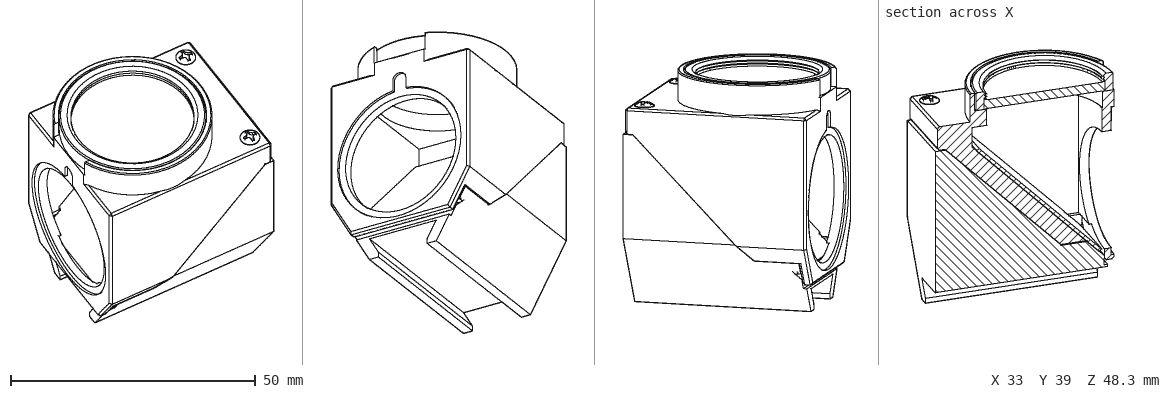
import cadquery as cq
import math

WIDTH = 33.0
DEPTH = 38.95
HEIGHT = 48.25
HALF_WIDTH = WIDTH / 2
EDGE_CHAMFER = 0.5
TAPER = math.tan(math.radians(30))

TOP_Z = 41.95
SKIRT_Z = 6.3
UPPER_TAPER_Z = 14.48
UPPER_REAR_Y = DEPTH - 0.4
SKIRT_THICKNESS = 2.1

JOINT_RISE = -0.35
JOINT_FRONT_Z = 11.2
JOINT_REAR_Z = 36.5
JOINT_GAP = 0.1
JOINT_FRONT_Y = JOINT_FRONT_Z - JOINT_RISE
JOINT_REAR_Y = JOINT_REAR_Z - JOINT_RISE

WINDOW_Z = 22.05
WINDOW_RADIUS = 13.1
RECESS_RADIUS = 14.65
RECESS_DEPTH = 0.6
KEYWAY_WIDTH = 3.1
KEYWAY_TOP_Z = 40.45

COLLAR_Y = 15.15
COLLAR_RADIUS = 16.25
COLLAR_BORE_RADIUS = 15.15
COLLAR_CHAMFER = 0.25
COLLAR_FLOOR_Z = 44.3
NOTCH_WIDTH = 12.15

HOLDER_RADIUS = 15.0
HOLDER_CHAMFER = 0.3
HOLDER_MOUTH_RADIUS = 13.35
THREAD_ROOT_RADIUS = 13.1
THREAD_CREST_RADIUS = 12.6
THREAD_PITCH = 0.65
THREAD_TURNS = 3
FIRST_CREST_Z = 47.6
FILTER_TOP_Z = FIRST_CREST_Z - (THREAD_TURNS - 1) * THREAD_PITCH

CHAMBER_WIDTH = 27.5
POCKET_WIDTH = 26.05
CHAMBER_FRONT_Y = 2.65
CHAMBER_REAR_Y = 30.9
CHAMBER_ROOF_Z = 40.55
CHAMBER_RISE = 5.35
PLATE_THICKNESS = 0.68
PLATE_FRONT_Y = 3.15
PLATE_REAR_Y = 29.9

LOWER_TAPER_Z = 14.75
LIP_FRONT_Y = 1.4
LIP_TOP_Z = 5.35
DOVETAIL_ROOF_Z = 4.8
DOVETAIL_ROOF_HALF = 7.9
DOVETAIL_LAND_Z = 1.1

SCREW_X = 12.8
SCREW_Y = 35.45
SCREW_RADIUS = 2.05
SCREW_RIM = 0.1
SCREW_HEIGHT = 0.85
CROSS_LENGTH = 2.8
CROSS_ARM = 0.6
CROSS_CORE = 1.45
CROSS_FLOOR = 0.1


def side_prism(points, width):
    """Prism centred on X from a (y, z) outline."""
    return cq.Workplane("YZ").polyline(points).close().extrude(width / 2, both=True)


def front_prism(points, front_y, rear_y):
    """Prism running along Y from an (x, z) outline."""
    plane = cq.Workplane("XZ", origin=(0, front_y, 0))
    return plane.polyline(points).close().extrude(front_y - rear_y)


def front_disc(radius, depth):
    """Cylinder on the window axis, from the front face inwards."""
    return cq.Workplane("XZ", origin=(0, 0, WINDOW_Z)).circle(radius).extrude(-depth)


def top_disc(radius, bottom_z, top_z):
    """Cylinder on the collar axis."""
    plane = cq.Workplane("XY", origin=(0, COLLAR_Y, bottom_z))
    return plane.circle(radius).extrude(top_z - bottom_z)


def tapered_outline(bottom_z, taper_z, top_z):
    """(x, z) outline with upright sides above taper_z and flanks leaning in below it."""
    bottom_half = HALF_WIDTH - (taper_z - bottom_z) * TAPER
    right = [(bottom_half, bottom_z), (HALF_WIDTH, taper_z), (HALF_WIDTH, top_z)]
    left = [(-x, z) for x, z in reversed(right)]
    return right + left


def light_chamber(front_y, width):
    """Space of the given width above the sloping plate seat, starting at front_y."""
    outline = [
        (front_y, front_y + CHAMBER_RISE),
        (CHAMBER_REAR_Y, CHAMBER_REAR_Y + CHAMBER_RISE),
        (CHAMBER_REAR_Y, CHAMBER_ROOF_Z),
        (front_y, CHAMBER_ROOF_Z),
    ]
    return side_prism(outline, width)


def upper_block():
    """Outer block above the joint, chamfered around the front, rear and top faces."""
    block = front_prism(tapered_outline(SKIRT_Z, UPPER_TAPER_Z, TOP_Z), 0, UPPER_REAR_Y)
    front_level_z = JOINT_FRONT_Z + JOINT_GAP
    rear_level_z = JOINT_REAR_Z + JOINT_GAP
    below_joint = [
        (SKIRT_THICKNESS, 0),
        (SKIRT_THICKNESS, front_level_z),
        (front_level_z - JOINT_RISE, front_level_z),
        (rear_level_z - JOINT_RISE, rear_level_z),
        (DEPTH, rear_level_z),
        (DEPTH, 0),
    ]
    block = block.cut(side_prism(below_joint, WIDTH))
    block = block.faces("<Y or >Y or >Z").edges().chamfer(EDGE_CHAMFER)
    skirt_rear = cq.selectors.BoxSelector(
        (-WIDTH, SKIRT_THICKNESS - JOINT_GAP, 0),
        (WIDTH, SKIRT_THICKNESS + JOINT_GAP, front_level_z - JOINT_GAP),
    )
    return block.edges(skirt_rear).chamfer(EDGE_CHAMFER)


def collar():
    """Round collar, cut flush with the front face."""
    ring = top_disc(COLLAR_RADIUS, CHAMBER_ROOF_Z, HEIGHT).faces(">Z").edges().chamfer(COLLAR_CHAMFER)
    keep = cq.Workplane("XY").box(WIDTH, DEPTH, HEIGHT, centered=(True, False, False))
    return ring.intersect(keep)


def keyway():
    """Round-topped slot rising from the front recess."""
    radius = KEYWAY_WIDTH / 2
    arc_z = KEYWAY_TOP_Z - radius
    return (
        cq.Workplane("XZ")
        .moveTo(-radius, WINDOW_Z)
        .lineTo(-radius, arc_z)
        .threePointArc((0, KEYWAY_TOP_Z), (radius, arc_z))
        .lineTo(radius, WINDOW_Z)
        .close()
        .extrude(-RECESS_DEPTH)
    )


def upper_housing():
    body = upper_block().union(collar())
    body = body.cut(light_chamber(CHAMBER_FRONT_Y, CHAMBER_WIDTH))
    body = body.cut(front_disc(WINDOW_RADIUS, CHAMBER_FRONT_Y))
    body = body.cut(front_disc(RECESS_RADIUS, RECESS_DEPTH)).cut(keyway())
    body = body.cut(top_disc(COLLAR_BORE_RADIUS, COLLAR_FLOOR_Z, HEIGHT))
    body = body.cut(top_disc(THREAD_CREST_RADIUS, CHAMBER_ROOF_Z, COLLAR_FLOOR_Z))
    notch = cq.Workplane("XY", origin=(0, 0, COLLAR_FLOOR_Z)).box(
        NOTCH_WIDTH, COLLAR_Y, HEIGHT - COLLAR_FLOOR_Z, centered=(True, False, False)
    )
    return body.cut(notch)


def lower_housing():
    body = front_prism(tapered_outline(0, LOWER_TAPER_Z, JOINT_REAR_Z), LIP_FRONT_Y, DEPTH)
    above_joint = [
        (0, LIP_TOP_Z),
        (SKIRT_THICKNESS, LIP_TOP_Z),
        (SKIRT_THICKNESS, JOINT_FRONT_Z),
        (JOINT_FRONT_Y, JOINT_FRONT_Z),
        (JOINT_REAR_Y, JOINT_REAR_Z),
        (JOINT_REAR_Y, HEIGHT),
        (0, HEIGHT),
    ]
    land_half = DOVETAIL_ROOF_HALF - (DOVETAIL_ROOF_Z - DOVETAIL_LAND_Z) * TAPER
    right = [(land_half, 0), (land_half, DOVETAIL_LAND_Z), (DOVETAIL_ROOF_HALF, DOVETAIL_ROOF_Z)]
    left = [(-x, z) for x, z in reversed(right)]
    body = body.cut(side_prism(above_joint, WIDTH))
    body = body.cut(front_prism(right + left, 0, DEPTH))
    return body.cut(light_chamber(0, POCKET_WIDTH))


def filter_holder():
    """Ring with a chamfered mouth and an inner thread simplified to V grooves."""
    mouth_z = HEIGHT - (HOLDER_MOUTH_RADIUS - THREAD_ROOT_RADIUS)
    outline = [
        (HOLDER_RADIUS, COLLAR_FLOOR_Z),
        (HOLDER_RADIUS, HEIGHT - HOLDER_CHAMFER),
        (HOLDER_RADIUS - HOLDER_CHAMFER, HEIGHT),
        (HOLDER_MOUTH_RADIUS, HEIGHT),
        (THREAD_ROOT_RADIUS, mouth_z),
    ]
    for turn in range(THREAD_TURNS):
        crest_z = FIRST_CREST_Z - turn * THREAD_PITCH
        if turn > 0:
            outline.append((THREAD_ROOT_RADIUS, crest_z + THREAD_PITCH / 2))
        outline.append((THREAD_CREST_RADIUS, crest_z))
    outline.append((THREAD_ROOT_RADIUS, FILTER_TOP_Z))
    outline.append((THREAD_ROOT_RADIUS, COLLAR_FLOOR_Z))
    profile = cq.Workplane("XZ", origin=(0, COLLAR_Y, 0)).polyline(outline).close()
    return profile.revolve(360, (0, 0, 0), (0, 1, 0))


def filter_disc():
    return top_disc(THREAD_ROOT_RADIUS, COLLAR_FLOOR_Z, FILTER_TOP_Z)


def side_blocks(inner_width, rear_y):
    """Pair of blocks outside the given width, from the front face back to rear_y."""
    blocks = cq.Workplane("XY").box(WIDTH, rear_y, HEIGHT, centered=(True, False, False))
    return blocks.cut(cq.Workplane("XY").box(inner_width, rear_y, HEIGHT, centered=(True, False, False)))


def dichroic_plate():
    """Flat plate lying on the sloping seat, narrower where it enters the lower pocket."""
    lift = PLATE_THICKNESS / math.sqrt(2)
    front_z = PLATE_FRONT_Y + CHAMBER_RISE
    rear_z = PLATE_REAR_Y + CHAMBER_RISE
    outline = [
        (PLATE_FRONT_Y, front_z),
        (PLATE_REAR_Y, rear_z),
        (PLATE_REAR_Y - lift, rear_z + lift),
        (PLATE_FRONT_Y - lift, front_z + lift),
    ]
    pocket_rear_y = JOINT_FRONT_Z - CHAMBER_RISE
    return side_prism(outline, CHAMBER_WIDTH).cut(side_blocks(POCKET_WIDTH, pocket_rear_y))


def dome_point(radius):
    """Point of the spherical screw dome at the given radius."""
    dome_height = SCREW_HEIGHT - SCREW_RIM
    sphere_radius = (SCREW_RADIUS**2 + dome_height**2) / (2 * dome_height)
    return radius, SCREW_HEIGHT - sphere_radius + math.sqrt(sphere_radius**2 - radius**2)


def screw(x):
    """Domed head with a cross recess, seated on the top face."""
    dome = (
        cq.Workplane("XZ")
        .lineTo(SCREW_RADIUS, 0)
        .lineTo(SCREW_RADIUS, SCREW_RIM)
        .threePointArc(dome_point(SCREW_RADIUS / 2), (0, SCREW_HEIGHT))
        .close()
        .revolve(360, (0, 0, 0), (0, 1, 0))
    )
    floor = cq.Workplane("XY", origin=(0, 0, CROSS_FLOOR))
    cross = floor.rect(CROSS_LENGTH, CROSS_ARM).extrude(SCREW_HEIGHT)
    cross = cross.union(floor.rect(CROSS_ARM, CROSS_LENGTH).extrude(SCREW_HEIGHT))
    core = floor.transformed(rotate=(0, 0, 45)).rect(CROSS_CORE, CROSS_CORE).extrude(SCREW_HEIGHT)
    return dome.cut(cross.union(core)).translate((x, SCREW_Y, TOP_Z))


screws = [screw(side * SCREW_X).val() for side in (-1, 1)]

result = cq.Compound.makeCompound([
    upper_housing().val(),
    lower_housing().val(),
    filter_holder().val(),
    filter_disc().val(),
    dichroic_plate().val(),
    *screws,
])